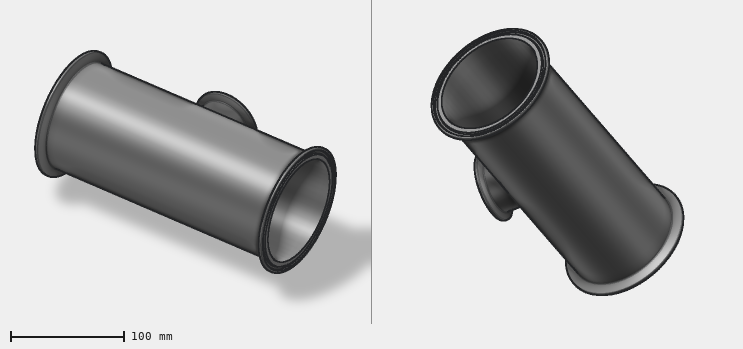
import cadquery as cq
import math

length = 241.3
main_outer_d = 101.5
main_bore_d = 97.5
main_flange_d = 119.0

branch_outer_d = 51.0
branch_bore_d = 47.5
branch_flange_d = 64.0
branch_face_y = 126.2 - main_flange_d / 2
weld_fillet_r = 1.7

rim_width = 3.0
rim_round_r = 0.7
cone_angle = 22.0
neck_fillet_r = 1.0

groove_inset = 4.3
groove_width = 3.9
groove_floor_width = 2.5
groove_depth = 1.7


def pipe_with_flange(outer_d, flange_d, pipe_length):
    """Solid pipe along +Z with a clamp flange whose face lies on Z = 0."""
    pipe_r = outer_d / 2
    flange_r = flange_d / 2
    neck_z = rim_width + (flange_r - pipe_r) * math.tan(math.radians(cone_angle))
    body = (
        cq.Workplane("XZ")
        .polyline([
            (0, 0),
            (flange_r, 0),
            (flange_r, rim_width),
            (pipe_r, neck_z),
            (pipe_r, pipe_length),
            (0, pipe_length),
        ])
        .close()
        .revolve(360, (0, 0, 0), (0, 1, 0))
    )
    box_r = flange_r + rim_width
    rim_edges = cq.selectors.BoxSelector(
        (-box_r, -box_r, -rim_round_r),
        (box_r, box_r, rim_width + rim_round_r),
        boundingbox=True,
    )
    neck_edge = cq.selectors.BoxSelector(
        (-box_r, -box_r, neck_z - rim_round_r),
        (box_r, box_r, neck_z + rim_round_r),
        boundingbox=True,
    )
    body = body.edges("%CIRCLE").edges(neck_edge).fillet(neck_fillet_r)
    return body.edges("%CIRCLE").edges(rim_edges).fillet(rim_round_r)


def gasket_groove(flange_d):
    """Ring with sloping sides, to be cut from a flange face on Z = 0."""
    centre_r = flange_d / 2 - groove_inset
    return (
        cq.Workplane("XZ")
        .polyline([
            (centre_r - groove_width / 2, 0),
            (centre_r - groove_floor_width / 2, groove_depth),
            (centre_r + groove_floor_width / 2, groove_depth),
            (centre_r + groove_width / 2, 0),
        ])
        .close()
        .revolve(360, (0, 0, 0), (0, 1, 0))
    )


def to_left_end(shape):
    return shape.rotate((0, 0, 0), (0, 1, 0), 90).translate((-length / 2, 0, 0))


def to_branch_end(shape):
    return shape.rotate((0, 0, 0), (1, 0, 0), 90).translate((0, branch_face_y, 0))


left_half = to_left_end(pipe_with_flange(main_outer_d, main_flange_d, length / 2))
main_body = left_half.union(left_half.mirror("YZ"))

branch_body = to_branch_end(pipe_with_flange(branch_outer_d, branch_flange_d, branch_face_y))
joint_selector = cq.selectors.BoxSelector(
    (-branch_outer_d / 2 - weld_fillet_r, main_outer_d / 4, -branch_outer_d),
    (branch_outer_d / 2 + weld_fillet_r, main_outer_d / 2 + weld_fillet_r, branch_outer_d),
    boundingbox=True,
)
body = main_body.union(branch_body)
body = body.edges(joint_selector).edges("%BSPLINE or %OTHER").fillet(weld_fillet_r)

main_groove = to_left_end(gasket_groove(main_flange_d))
body = body.cut(main_groove).cut(main_groove.mirror("YZ"))
body = body.cut(to_branch_end(gasket_groove(branch_flange_d)))

main_bore = cq.Workplane("YZ").circle(main_bore_d / 2).extrude(length / 2, both=True)
branch_bore = cq.Workplane("XZ").circle(branch_bore_d / 2).extrude(-branch_face_y)
result = body.cut(main_bore).cut(branch_bore)